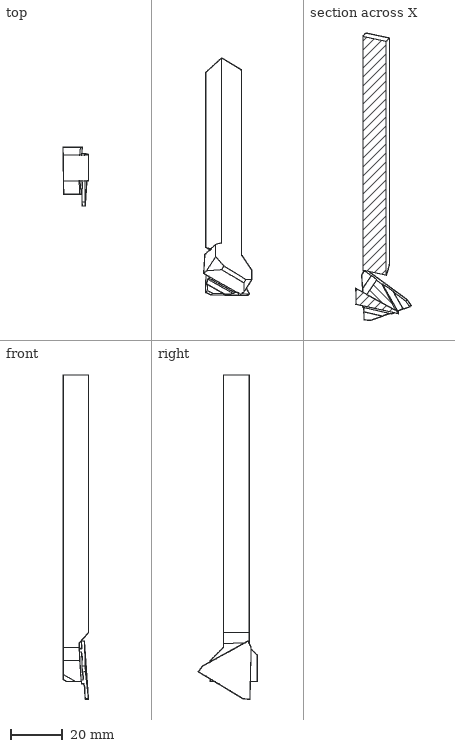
import cadquery as cq
import math


total_length = 125.1
shank_width = 9.9
shank_depth = 10.0
head_back = 8.0
head_front = 10.1
head_bottom = 6.9
shoulder_top = 20.1
flank_lean = 0.3

relief_height = 0.9
relief_slope = 30.0
back_relief_length = 4.1
back_relief_rise = 2.4
front_relief_length = 3.0
front_relief_rise = 2.0

notch_top = 25.8
taper_width = 2.9
taper_drop = 3.2
margin = 6.3

insert_thickness = 2.0
insert_side = 22.6
insert_turn = -58.2
land_length = 2.8
land_tilt = 6.6
tip_count = 3
seat_lean = 4.0
seat_yaw = 1.4
tip_x = 7.9
tip_y = 5.3

edge_relief = 0.8
neck_start = 3.5
neck_relief = 0.9
step_relief = 1.0
slope_start = 4.9
slope_end = 6.1
hub_step = 0.8

yaw_shift = math.tan(math.radians(seat_yaw))
lean_shift = math.tan(math.radians(seat_lean))
tip_lift = edge_relief * math.sin(math.radians(seat_lean))
seat = cq.Plane(
    origin=(tip_x, tip_y, -tip_lift),
    xDir=(yaw_shift, 1, 0),
    normal=(1, -yaw_shift, lean_shift),
)


def make_blank():
    """Shank and shouldered head, with the slightly leaning -X flank."""
    half_depth = shank_depth / 2
    side_outline = [
        (half_depth, total_length),
        (half_depth, shoulder_top),
        (head_back, shoulder_top - (head_back - half_depth)),
        (head_back, head_bottom),
        (-head_front, head_bottom),
        (-head_front, shoulder_top - (head_front - half_depth)),
        (-half_depth, shoulder_top),
        (-half_depth, total_length),
    ]
    plan_outline = [
        (0, head_back),
        (shank_width, head_back),
        (shank_width, -head_front),
        (flank_lean, -head_front),
    ]
    body = cq.Workplane("YZ").polyline(side_outline).close().extrude(shank_width)
    plan = cq.Workplane("XY").polyline(plan_outline).close().extrude(total_length)
    return body.intersect(plan)


def make_edge_relief():
    """Three facets under the -X edge, all parallel to one line sloping down towards +X."""
    edge_height = head_bottom + relief_height
    floor = head_bottom - margin
    outline = [
        (0, head_back, edge_height + back_relief_rise),
        (0, head_back - back_relief_length, edge_height),
        (0, front_relief_length - head_front, edge_height),
        (0, -head_front, edge_height + front_relief_rise),
        (0, -head_front, floor),
        (0, head_back, floor),
    ]
    wire = cq.Wire.makePolygon([cq.Vector(*point) for point in outline], close=True)
    drop = shank_width * math.tan(math.radians(relief_slope))
    return cq.Workplane(cq.Solid.extrudeLinear(wire, [], cq.Vector(shank_width, 0, -drop)))


def make_seat_notch():
    """Space on the +X side of the seat plane and below the shank taper."""
    taper_slope = taper_drop / taper_width
    outer_x = shank_width + margin
    inner_x = shank_width - margin
    outline = [
        (inner_x, 0),
        (outer_x, 0),
        (outer_x, notch_top + margin * taper_slope),
        (inner_x, notch_top - margin * taper_slope),
    ]
    under_taper = cq.Workplane("XZ").polyline(outline).close().extrude(total_length, both=True)
    over_seat = cq.Workplane(seat).rect(total_length, total_length).extrude(outer_x)
    return under_taper.intersect(over_seat)


def make_holder():
    return make_blank().cut(make_edge_relief()).cut(make_seat_notch())


def make_insert():
    """Triangular insert with a cutting land and a relieved seat side at every tip."""
    tip_angle = 360 / tip_count
    radius = insert_side / math.sqrt(3)
    turn = math.radians(insert_turn)
    centre_x = -radius * math.cos(turn)
    centre_y = -radius * math.sin(turn)

    tilt = math.radians(land_tilt)
    land_end = cq.Vector(-land_length * math.cos(tilt), land_length * math.sin(tilt), 0)
    centre = cq.Vector(centre_x, centre_y, 0)
    outline = []
    for tip in range(tip_count):
        angle = math.radians(tip * tip_angle)
        for corner in (land_end, cq.Vector(0, 0, 0)):
            x, y, _ = (corner - centre).toTuple()
            outline.append((
                centre_x + x * math.cos(angle) - y * math.sin(angle),
                centre_y + x * math.sin(angle) + y * math.cos(angle),
            ))
    insert = cq.Workplane("XY").polyline(outline).close().extrude(insert_thickness)

    relief_outline = [
        (-margin, 0),
        (-margin, edge_relief),
        (0, edge_relief),
        (neck_start, neck_relief),
        (neck_start, step_relief),
        (slope_start, step_relief),
        (slope_end, hub_step),
        (slope_end, 0),
    ]
    relief = cq.Workplane("YZ").polyline(relief_outline).close().extrude(insert_side, both=True)
    for tip in range(tip_count):
        insert = insert.cut(
            relief.rotate((centre_x, centre_y, 0), (centre_x, centre_y, 1), tip * tip_angle)
        )
    return cq.Workplane(insert.val().moved(cq.Location(seat)))


holder = make_holder()
insert = make_insert()

result = cq.Compound.makeCompound([holder.val(), insert.val()])